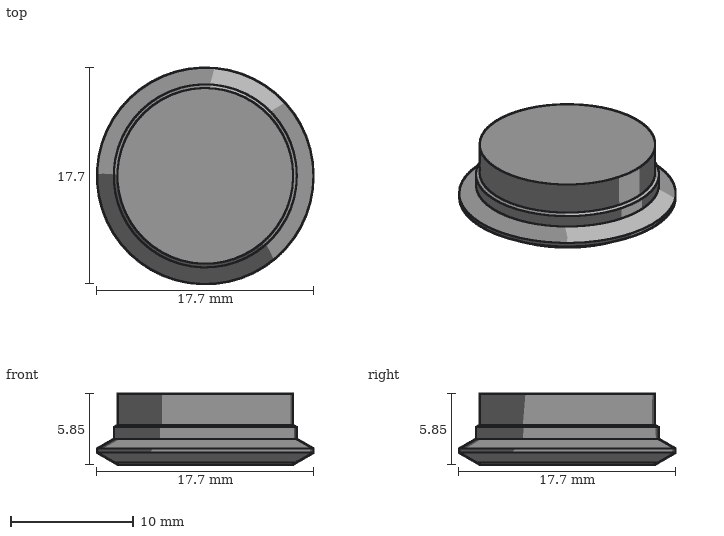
import cadquery as cq
import math

TOTAL_HEIGHT = 5.85
NECK_DIAMETER = 14.35
BODY_DIAMETER = 14.95
RING_DIAMETER = 17.7
BEVEL_ANGLE = 30
RIM_HEIGHT = 0.33
RING_BASE = 0.23
SHOULDER_HEIGHT = 3.1

bevel_slope = math.tan(math.radians(BEVEL_ANGLE))
neck_radius = NECK_DIAMETER / 2
body_radius = BODY_DIAMETER / 2
ring_radius = RING_DIAMETER / 2
base_radius = body_radius - RING_BASE / bevel_slope
neck_base = SHOULDER_HEIGHT + (body_radius - neck_radius) * bevel_slope
ring_bevel_height = (ring_radius - body_radius) * bevel_slope
rim_bottom = RING_BASE + ring_bevel_height
rim_top = rim_bottom + RIM_HEIGHT
ring_top = rim_top + ring_bevel_height


def revolve_profile(points):
    """Turn a closed (radius, height) outline around the Z axis."""
    return cq.Workplane("XZ").polyline(points).close().revolve(360, (0, 0, 0), (0, 1, 0))


def make_plug():
    """Solid stepped plug with a bevelled bottom edge and a bevelled shoulder below the neck."""
    return revolve_profile([
        (0, 0),
        (base_radius, 0),
        (body_radius, RING_BASE),
        (body_radius, SHOULDER_HEIGHT),
        (neck_radius, neck_base),
        (neck_radius, TOTAL_HEIGHT),
        (0, TOTAL_HEIGHT),
    ])


def make_ring():
    """Ring around the plug, bevelled above and below its rim down to a sharp inner edge."""
    return revolve_profile([
        (body_radius, RING_BASE),
        (ring_radius, rim_bottom),
        (ring_radius, rim_top),
        (body_radius, ring_top),
    ])


plug = make_plug()
ring = make_ring()

result = cq.Compound.makeCompound([plug.val(), ring.val()])